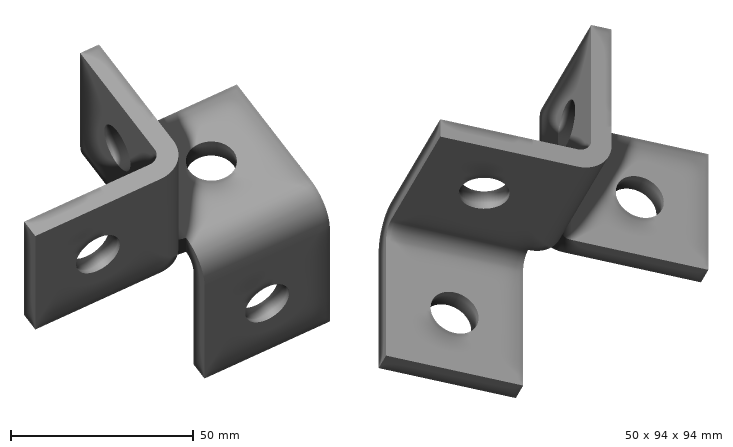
import cadquery as cq

thickness = 6.0
inner_radius = 4.0
pad = 40.0
hole_diameter = 14.0

outer_radius = inner_radius + thickness
reach = pad + outer_radius
bend_end = reach + inner_radius
cut_margin = 1.0


def angle_profile(plane):
    """L-shaped section with legs ending at the local axes and a rounded corner at (reach, reach)."""
    inner_face = reach - thickness
    return (
        cq.Workplane(plane)
        .moveTo(0, reach)
        .lineTo(pad, reach)
        .radiusArc((reach, pad), outer_radius)
        .lineTo(reach, 0)
        .lineTo(inner_face, 0)
        .lineTo(inner_face, pad)
        .radiusArc((pad, inner_face), -inner_radius)
        .lineTo(0, inner_face)
        .close()
    )


def upper_angle():
    """Back pad and side pad, bent about a vertical axis."""
    plane = cq.Plane(origin=(0, 0, bend_end), xDir=(1, 0, 0), normal=(0, 0, 1))
    return angle_profile(plane).extrude(pad)


def lower_angle():
    """Shelf pad and hanging pad, bent about an axis along Y."""
    plane = cq.Plane(origin=(0, bend_end, 0), xDir=(1, 0, 0), normal=(0, -1, 0))
    return angle_profile(plane).extrude(-pad)


def joining_bend():
    """Quarter ring, bent about an axis along X, from the back pad down to the shelf pad."""
    inner_edge = bend_end - inner_radius
    outer_edge = bend_end - outer_radius
    return (
        cq.Workplane("YZ")
        .moveTo(bend_end, outer_edge)
        .radiusArc((outer_edge, bend_end), outer_radius)
        .lineTo(inner_edge, bend_end)
        .radiusArc((bend_end, inner_edge), -inner_radius)
        .close()
        .extrude(pad)
    )


def pad_hole(outer_face_center, direction):
    """Cutter through one pad, running from its outer face along direction."""
    plane = cq.Plane(origin=outer_face_center, normal=direction)
    return (
        cq.Workplane(plane)
        .workplane(offset=-cut_margin)
        .circle(hole_diameter / 2)
        .extrude(thickness + 2 * cut_margin)
    )


near_center = pad / 2
far_center = bend_end + pad / 2

pad_holes = [
    ((near_center, reach, far_center), (0, -1, 0)),
    ((reach, near_center, far_center), (-1, 0, 0)),
    ((near_center, far_center, reach), (0, 0, -1)),
    ((reach, far_center, near_center), (-1, 0, 0)),
]

result = upper_angle().union(joining_bend()).union(lower_angle())
for face_center, direction in pad_holes:
    result = result.cut(pad_hole(face_center, direction))